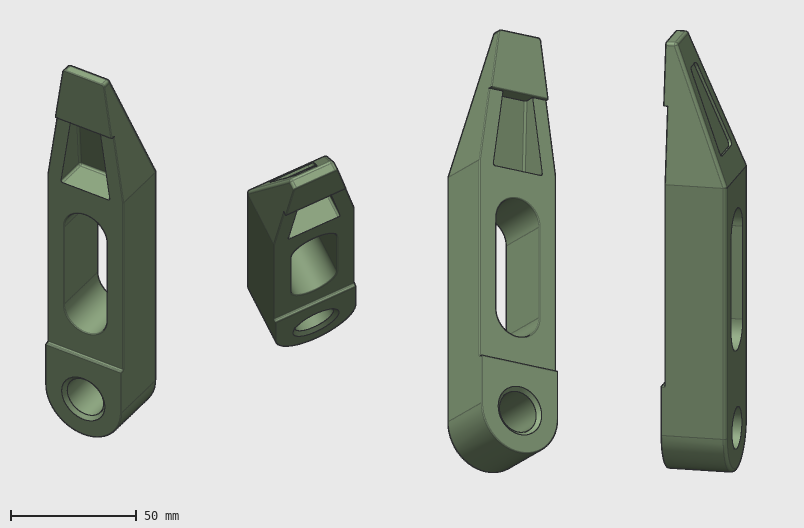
import cadquery as cq
import math

length = 177.8
width = 35.5
height = 26.8
end_radius = width / 2

nose_start = 121.5
tip_width = 19.4
tip_height = 4.6
nose_length = length - nose_start
side_taper = (width - tip_width) / 2 / nose_length
back_slope = (height - tip_height) / nose_length
back_angle = math.atan(back_slope)
slope_normal = cq.Vector(0, 1, back_slope)

relief_depth = 1.6
relief_root_radius = 0.5
end_pad_top = 38.0
nose_pad_bottom = 152.5

slot_width = 20.1
slot_bottom = 49.8
slot_top = 108.3

hole_diameter = 17.0
hole_chamfer = 1.6

nose_wall = 6.4
front_pocket_bottom = 120.2
front_pocket_depth = 14.2
front_pocket_slope = 0.28
front_pocket_fillet = 0.9
back_recess_bottom = 132.0
back_recess_top = 166.6
back_recess_depth = 1.2
back_recess_corner_radius = 2.1

back_fillet = 1.5
front_fillet = 0.4

pick_margin = 0.02


def nose_half_width(z):
    """Half the part width at height z on the tapered nose."""
    return width / 2 - side_taper * (z - nose_start)


def back_face_y(z):
    """Y of the sloped back face at height z."""
    return height - back_slope * (z - nose_start)


def make_body():
    """Rounded bar with a tapered nose, cut to the sloped side profile."""
    outline = (
        cq.Workplane("XZ")
        .moveTo(-width / 2, end_radius)
        .threePointArc((0, 0), (width / 2, end_radius))
        .lineTo(width / 2, nose_start)
        .lineTo(tip_width / 2, length)
        .lineTo(-tip_width / 2, length)
        .lineTo(-width / 2, nose_start)
        .close()
        .extrude(-height)
    )
    profile = (
        cq.Workplane("YZ")
        .polyline([(0, 0), (height, 0), (height, nose_start), (tip_height, length), (0, length)])
        .close()
        .extrude(width / 2, both=True)
    )
    return outline.intersect(profile)


def round_back_edges(body):
    """Round the rims of the flat and sloped back faces and the corners of the nose tip."""
    flat_rim = body.faces(">Y").edges("not |X")
    slope_rim = body.faces(cq.selectors.ParallelDirSelector(slope_normal)).edges("not (|X and <Z)")
    tip_corners = body.faces(">Z").edges("|Y")
    return flat_rim.add(slope_rim).add(tip_corners).fillet(back_fillet)


def cut_relief(body):
    """Step back the clamping face between the pads, with a rounded root above the end pad."""
    relief = (
        cq.Workplane("XY", origin=(0, 0, end_pad_top))
        .box(width, relief_depth, nose_pad_bottom - end_pad_top, centered=(True, False, False))
        .edges("|X and >Y and <Z")
        .fillet(relief_root_radius)
    )
    return body.cut(relief)


def cut_slot(body):
    """Bolt slot through the full height."""
    slot = (
        cq.Workplane("XZ", origin=(0, 0, (slot_bottom + slot_top) / 2))
        .slot2D(slot_top - slot_bottom, slot_width, 90)
        .extrude(-height)
    )
    return body.cut(slot)


def round_front_edges(body):
    """Break the pad outlines, the sides of the relieved face and the rim of the slot."""
    pad_rims = body.faces("<Y").edges()
    at_relief_face = cq.selectors.BoxSelector(
        (-width, relief_depth - pick_margin, 0), (width, relief_depth + pick_margin, length)
    )
    relief_rim = body.faces(at_relief_face).edges("not |X")
    return pad_rims.add(relief_rim).fillet(front_fillet)


def cut_front_pocket(body):
    """Trapezoidal pocket that gets shallower toward the tip, with rounded inner edges."""
    z0 = front_pocket_bottom
    z1 = nose_pad_bottom
    x0 = nose_half_width(z0) - nose_wall
    x1 = nose_half_width(z1) - nose_wall
    floor_y0 = relief_depth + front_pocket_depth
    floor_y1 = floor_y0 - front_pocket_slope * (z1 - z0)
    outline = (
        cq.Workplane("XZ")
        .polyline([(-x0, z0), (x0, z0), (x1, z1), (-x1, z1)])
        .close()
        .extrude(-height)
    )
    profile = (
        cq.Workplane("YZ")
        .polyline([(relief_depth, z0), (floor_y0, z0), (floor_y1, z1), (relief_depth, z1)])
        .close()
        .extrude(width / 2, both=True)
    )
    pocket = outline.intersect(profile)
    return body.cut(pocket.edges("not (<Y or >Z)").fillet(front_pocket_fillet))


def cut_back_recess(body):
    """Shallow trapezoid sunk square to the sloped back face."""
    mid = (back_recess_bottom + back_recess_top) / 2
    half_run = (back_recess_top - back_recess_bottom) / 2 / math.cos(back_angle)
    x0 = nose_half_width(back_recess_bottom) - nose_wall
    x1 = nose_half_width(back_recess_top) - nose_wall
    plane = cq.Plane(origin=(0, back_face_y(mid), mid), xDir=(-1, 0, 0), normal=slope_normal)
    recess = (
        cq.Workplane(plane)
        .polyline([(-x0, -half_run), (x0, -half_run), (x1, half_run), (-x1, half_run)])
        .close()
        .extrude(-back_recess_depth)
        .edges(cq.selectors.ParallelDirSelector(slope_normal))
        .fillet(back_recess_corner_radius)
    )
    return body.cut(recess)


def cut_hole(body):
    """Through hole concentric with the rounded end, chamfered at the clamping face."""
    hole_radius = hole_diameter / 2
    hole = cq.Workplane("XZ", origin=(0, 0, end_radius)).circle(hole_radius).extrude(-height)
    chamfer = cq.Solid.makeCone(
        hole_radius + hole_chamfer,
        hole_radius,
        hole_chamfer,
        pnt=cq.Vector(0, 0, end_radius),
        dir=cq.Vector(0, 1, 0),
    )
    return body.cut(hole).cut(cq.Workplane(chamfer))


result = make_body()
result = round_back_edges(result)
result = cut_relief(result)
result = cut_slot(result)
result = round_front_edges(result)
result = cut_front_pocket(result)
result = cut_back_recess(result)
result = cut_hole(result)